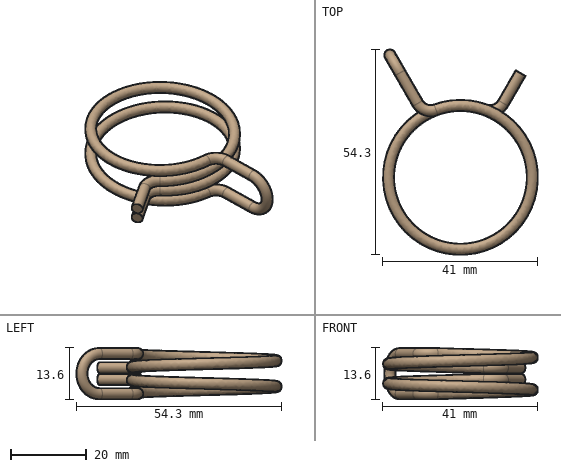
import cadquery as cq
import math


wire_diameter = 3.0
coil_radius = 19.0
bend_radius = 4.0
free_leg_angle = 60.0
loop_leg_angle = 120.0
loop_leg_end_radius = 32.0
free_leg_end_radius = 31.8
loop_radius = 5.3
free_leg_height = 1.55

wire_radius = wire_diameter / 2
loop_leg_height = loop_radius
bend_offset = coil_radius + bend_radius
bend_spread = math.degrees(math.asin(bend_radius / bend_offset))
bend_turn = 90.0 - bend_spread
leg_start_radius = bend_offset * math.cos(math.radians(bend_spread))
coil_start_angle = free_leg_angle + bend_spread
coil_sweep = loop_leg_angle + 360.0 - free_leg_angle - 2 * bend_spread
coil_rise = loop_leg_height - free_leg_height
coil_pitch = coil_rise * 360.0 / coil_sweep


def place(solid, angle, height):
    """Turn a solid built along +X about Z and lift it to its height."""
    return solid.rotate((0, 0, 0), (0, 0, 1), angle).translate((0, 0, height))


def coil():
    """Right-handed helix rising from the free leg to the loop leg."""
    path = cq.Wire.makeHelix(coil_pitch, coil_rise, coil_radius)
    section = cq.Workplane("XZ").center(coil_radius, 0).circle(wire_radius)
    solid = section.sweep(cq.Workplane(path), isFrenet=True)
    return place(solid, coil_start_angle, free_leg_height)


def leg(angle, height, end_radius, bend_side):
    """Straight radial leg with the bend to the coil; bend_side is +1 or -1 about Z."""
    straight = (
        cq.Workplane("YZ", origin=(leg_start_radius, 0, 0))
        .circle(wire_radius)
        .extrude(end_radius - leg_start_radius)
    )
    bend = (
        cq.Workplane("YZ", origin=(leg_start_radius, 0, 0))
        .circle(wire_radius)
        .revolve(bend_turn, (bend_side * bend_radius, 0), (bend_side * bend_radius, -bend_side))
    )
    return place(straight.union(bend), angle, height)


def loop():
    """Half-turn U loop joining the two loop legs across the mid-plane."""
    solid = (
        cq.Workplane("YZ", origin=(loop_leg_end_radius, 0, loop_radius))
        .circle(wire_radius)
        .revolve(180.0, (0, -loop_radius), (1, -loop_radius))
    )
    return place(solid, loop_leg_angle, 0)


upper_half = (
    coil()
    .union(leg(free_leg_angle, free_leg_height, free_leg_end_radius, 1))
    .union(leg(loop_leg_angle, loop_leg_height, loop_leg_end_radius, -1))
)
result = upper_half.union(loop()).union(upper_half.mirror("XY"))